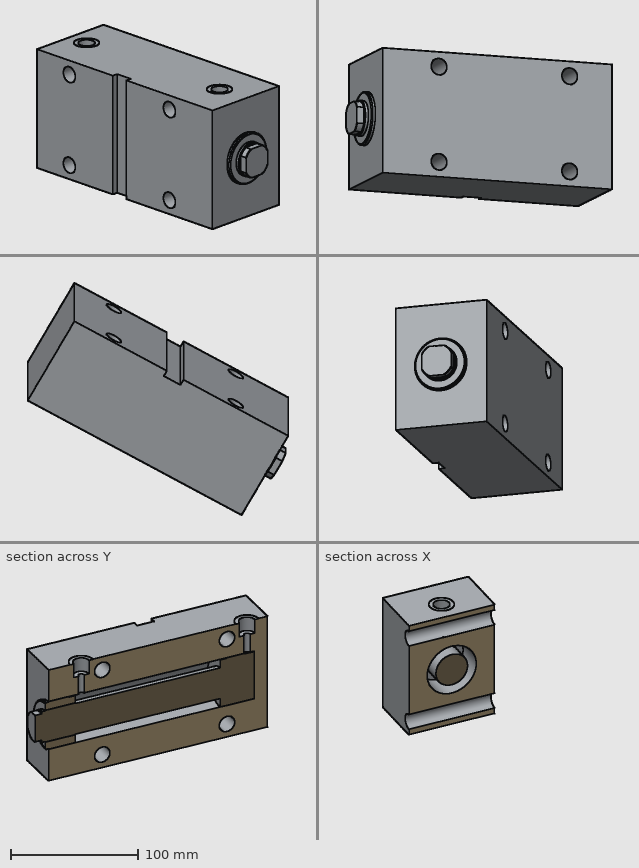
import cadquery as cq

overall_length = 205.0

housing_length = 193.0
housing_depth = 75.0
housing_height = 100.0
closed_end_wall = 12.0

keyway_start = 83.5
keyway_width = 15.0
keyway_depth = 5.0

mount_hole_diameter = 13.1
mount_hole_first_x = 35.7
mount_hole_pitch_x = 109.9
mount_hole_pitch_z = 76.3

port_positions = (18.0, 164.0)
port_diameter = 13.3
port_depth = 12.3
port_seat_diameter = 20.0
port_seat_depth = 0.2
oil_passage_diameter = 5.0

gland_diameter = 42.5
gland_inset = 24.0
gland_protrusion = 3.0
gland_chamfer = 1.0

bore_diameter = gland_diameter
piston_length = 30.0
rod_diameter = 28.0
rod_shoulder_length = 3.0
rod_shoulder_chamfer = 0.6
rod_end_diameter = 27.5
rod_end_chamfer = 0.3
rod_end_across_flats = 24.2

gland_inner_x = housing_length - gland_inset
gland_outer_x = housing_length + gland_protrusion
rod_shoulder_x = gland_outer_x + rod_shoulder_length
piston_front_x = closed_end_wall + piston_length


def axial_cylinder(diameter, start_x, end_x):
    """Cylinder on the rod axis between two X stations."""
    return cq.Workplane("YZ", origin=(start_x, 0, 0)).circle(diameter / 2).extrude(end_x - start_x)


def vertical_cylinder(diameter, x, bottom_z, top_z):
    """Cylinder parallel to Z, centred on the housing depth."""
    return cq.Workplane("XY", origin=(x, 0, bottom_z)).circle(diameter / 2).extrude(top_z - bottom_z)


def keyway_cutter():
    """Slot across the front face, running the full height."""
    return cq.Workplane("XY").box(
        keyway_width, keyway_depth, housing_height, centered=(False, False, True)
    ).translate((keyway_start, -housing_depth / 2, 0))


def mount_hole_cutters():
    """Four holes through the depth of the housing."""
    mid_x = mount_hole_first_x + mount_hole_pitch_x / 2
    return (
        cq.Workplane("XZ", origin=(mid_x, housing_depth / 2, 0))
        .rarray(mount_hole_pitch_x, mount_hole_pitch_z, 2, 2)
        .circle(mount_hole_diameter / 2)
        .extrude(housing_depth)
    )


def port_cutter(x):
    """Port with a shallow seat and a narrow passage down into the bore."""
    top_z = housing_height / 2
    seat = vertical_cylinder(port_seat_diameter, x, top_z - port_seat_depth, top_z)
    port = vertical_cylinder(port_diameter, x, top_z - port_depth, top_z)
    passage = vertical_cylinder(oil_passage_diameter, x, 0, top_z)
    return seat.union(port).union(passage)


def make_housing():
    """Block with a blind bore open at the +X end."""
    housing = cq.Workplane("XY").box(
        housing_length, housing_depth, housing_height, centered=(False, True, True)
    )
    housing = housing.cut(axial_cylinder(bore_diameter, closed_end_wall, housing_length))
    housing = housing.cut(keyway_cutter())
    housing = housing.cut(mount_hole_cutters())
    for x in port_positions:
        housing = housing.cut(port_cutter(x))
    return housing


def make_gland():
    """Bushing that closes the bore around the rod."""
    gland = axial_cylinder(gland_diameter, gland_inner_x, gland_outer_x)
    gland = gland.faces(">X").chamfer(gland_chamfer)
    return gland.cut(axial_cylinder(rod_diameter, gland_inner_x, gland_outer_x))


def make_rod_end():
    """Round rod end with four flats."""
    rod_end = axial_cylinder(rod_end_diameter, rod_shoulder_x, overall_length)
    rod_end = rod_end.faces(">X").chamfer(rod_end_chamfer)
    square = (
        cq.Workplane("YZ", origin=(rod_shoulder_x, 0, 0))
        .rect(rod_end_across_flats, rod_end_across_flats)
        .extrude(overall_length - rod_shoulder_x)
    )
    return rod_end.intersect(square)


def make_piston_rod():
    """Piston against the closed end of the bore, its rod and the flatted rod end."""
    piston = axial_cylinder(bore_diameter, closed_end_wall, piston_front_x)
    rod = axial_cylinder(rod_diameter, piston_front_x, rod_shoulder_x)
    rod = rod.faces(">X").chamfer(rod_shoulder_chamfer)
    return piston.union(rod).union(make_rod_end())


housing = make_housing()
gland = make_gland()
piston_rod = make_piston_rod()

result = cq.Compound.makeCompound([housing.val(), gland.val(), piston_rod.val()])